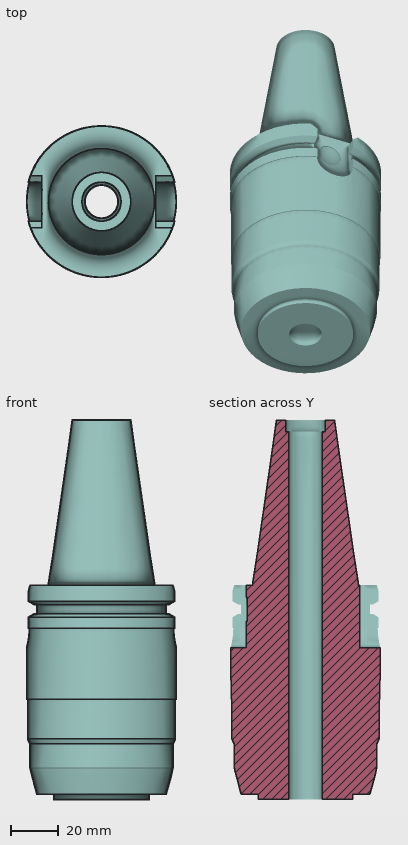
import cadquery as cq

total_length = 159.15
taper_length = 68.25
gauge_z = total_length - taper_length

gauge_diameter = 44.45
taper_ratio = 7 / 24
taper_tip_diameter = gauge_diameter - taper_length * taper_ratio
neck_height = 1.0

flange_diameter = 63.5
flange_top_z = gauge_z - neck_height
flange_bottom_z = gauge_z - 19.05
groove_center_z = gauge_z - 11.15
groove_floor_diameter = 56.6
groove_wall_end_diameter = 58.5
groove_mouth_width = 6.8
groove_floor_width = 3.8

body_diameter = 62.7
body_bottom_z = 42.1
sleeve_diameter = 62.0
sleeve_bottom_z = 25.4
collar_diameter = 60.0
collar_top_z = 23.3
collar_bottom_z = 13.4
nose_diameter = 54.2
nose_bottom_z = 2.2
nose_bulge = 0.2
boss_diameter = 40.0

bore_diameter = 13.8
counterbore_diameter = 16.4
counterbore_depth = 5.0

keyway_width = 16.3
keyway_center_z = flange_bottom_z
keyway_chamfer = 2.7
keyway_floor_left = -25.0
keyway_floor_right = 22.8

recess_diameter = 10.0
recess_depth = 0.4


def make_body():
    """Turned shape with its stepped bore, revolved about Z."""
    bore_radius = bore_diameter / 2
    counterbore_radius = counterbore_diameter / 2
    counterbore_z = total_length - counterbore_depth
    collar_radius = collar_diameter / 2
    nose_radius = nose_diameter / 2
    nose_middle = (
        (collar_radius + nose_radius) / 2 + nose_bulge,
        (collar_bottom_z + nose_bottom_z) / 2,
    )
    profile = (
        cq.Workplane("YZ")
        .moveTo(bore_radius, 0)
        .lineTo(boss_diameter / 2, 0)
        .lineTo(boss_diameter / 2, nose_bottom_z)
        .lineTo(nose_radius, nose_bottom_z)
        .threePointArc(nose_middle, (collar_radius, collar_bottom_z))
        .lineTo(collar_radius, collar_top_z)
        .lineTo(sleeve_diameter / 2, sleeve_bottom_z)
        .lineTo(sleeve_diameter / 2, body_bottom_z)
        .lineTo(body_diameter / 2, body_bottom_z)
        .lineTo(body_diameter / 2, flange_bottom_z)
        .lineTo(flange_diameter / 2, flange_bottom_z)
        .lineTo(flange_diameter / 2, groove_center_z - groove_mouth_width / 2)
        .lineTo(groove_wall_end_diameter / 2, groove_center_z - groove_floor_width / 2)
        .lineTo(groove_floor_diameter / 2, groove_center_z - groove_floor_width / 2)
        .lineTo(groove_floor_diameter / 2, groove_center_z + groove_floor_width / 2)
        .lineTo(groove_wall_end_diameter / 2, groove_center_z + groove_floor_width / 2)
        .lineTo(flange_diameter / 2, groove_center_z + groove_mouth_width / 2)
        .lineTo(flange_diameter / 2, flange_top_z)
        .lineTo(gauge_diameter / 2, flange_top_z)
        .lineTo(gauge_diameter / 2, gauge_z)
        .lineTo(taper_tip_diameter / 2, total_length)
        .lineTo(counterbore_radius, total_length)
        .lineTo(counterbore_radius, counterbore_z)
        .lineTo(bore_radius, counterbore_z)
        .close()
    )
    return profile.revolve(360, (0, 0, 0), (0, 1, 0))


def keyway_cutter(floor_x, outer_x):
    """Keyway volume between the planes X = floor_x and X = outer_x."""
    half_width = keyway_width / 2
    mouth_half_width = half_width + keyway_chamfer
    chamfer_z = flange_top_z - keyway_chamfer
    return (
        cq.Workplane("YZ", origin=(floor_x, 0, 0))
        .moveTo(-half_width, keyway_center_z)
        .threePointArc((0, keyway_center_z - half_width), (half_width, keyway_center_z))
        .lineTo(half_width, chamfer_z)
        .lineTo(mouth_half_width, flange_top_z)
        .lineTo(-mouth_half_width, flange_top_z)
        .lineTo(-half_width, chamfer_z)
        .close()
        .extrude(outer_x - floor_x)
    )


def recess_cutter():
    """Disc sunk into the left keyway floor, level with the V groove."""
    return (
        cq.Workplane("YZ", origin=(keyway_floor_left, 0, groove_center_z))
        .circle(recess_diameter / 2)
        .extrude(recess_depth)
    )


result = make_body()
result = result.cut(keyway_cutter(keyway_floor_left, -flange_diameter / 2))
result = result.cut(keyway_cutter(keyway_floor_right, flange_diameter / 2))
result = result.cut(recess_cutter())